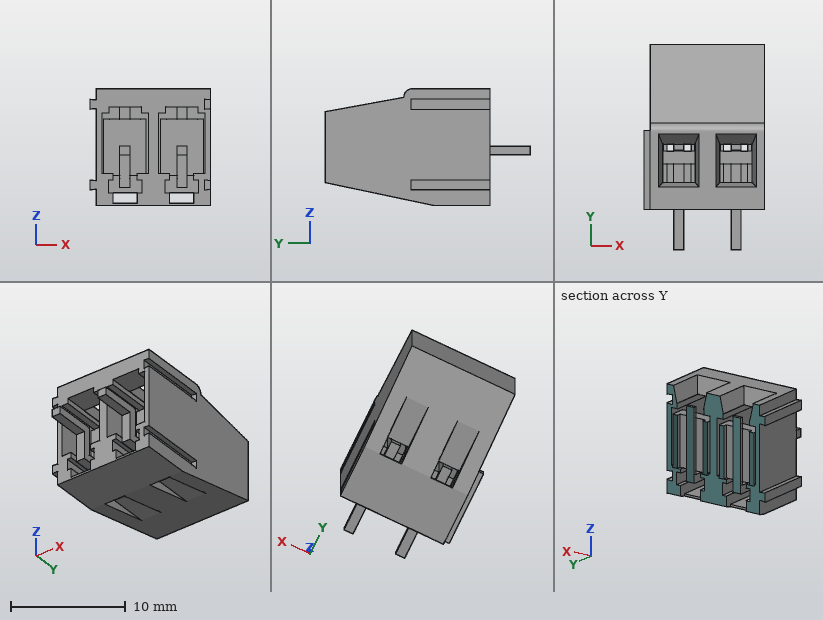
import cadquery as cq


OVERALL_DEPTH = 17.9

HOUSING_WIDTH = 9.99
MID_X = HOUSING_WIDTH / 2
POLE_PITCH = HOUSING_WIDTH / 2
POLE_SIDES = (-1, 1)
CHAMBER_SHIFT = 0.04

HOUSING_DEPTH = 14.4
HOUSING_HEIGHT = 10.2
FLAT_BOTTOM_DEPTH = 4.89
REAR_BOTTOM_Z = 2.0
REAR_TOP_Z = 8.2
STEP_Y = 7.54
STEP_RADIUS = 0.75

RAIL_WIDTH = 0.55
RAIL_LENGTH = 6.91
RAIL_TIP_HEIGHT = 0.88
RAIL_ROOT_HEIGHT = 0.77
RAIL_CENTRES_Z = (1.8, 8.85)

CHAMBER_DEPTH = 6.28
CHAMBER_WIDTH = 4.08
CHAMBER_FLOOR_Z = 2.81
CHAMBER_TOP_Z = 8.09
CEILING_Z = 8.61
CEILING_WIDTH = 2.81
CHANNEL_WIDTH = 2.1
CHANNEL_FLOOR_Z = 0.21
SLOT_WIDTH = 2.92
SLOT_BOTTOM_Z = 1.13
SLOT_TOP_Z = 2.25

FUNNEL_TOP_WIDTH = 3.53
FUNNEL_TOP_FRONT_Y = 1.95
FUNNEL_TOP_REAR_Y = 6.57
FUNNEL_BASE_FRONT_Y = 2.38
FUNNEL_BASE_REAR_Y = 5.7

CAGE_FRONT_Y = 4.0
CAGE_WIDTH = 3.75
CAGE_BOTTOM_Z = 2.65
CAGE_TOP_Z = 7.54
CAGE_FRONT_WALL = 1.11
CAGE_SIDE_WALL = 0.52

PIN_WIDTH = 0.88
PIN_THICKNESS = 0.77
PIN_REACH = OVERALL_DEPTH - HOUSING_DEPTH
PIN_TOP_Z = 5.19
PIN_BOTTOM_Z = 1.6
TONGUE_FRONT_Y = 5.2


def block(centre_x, width, y_start, y_end, z_start, z_end):
    """Box centred on centre_x in X, between the given Y and Z limits."""
    return (
        cq.Workplane("XY")
        .box(width, y_end - y_start, z_end - z_start, centered=(True, False, False))
        .translate((centre_x, y_start, z_start))
    )


def pole_x(side):
    """Middle of a pole's metal parts."""
    return MID_X + side * POLE_PITCH / 2


def make_shell():
    """Solid housing profile, extruded across both poles."""
    step_z = HOUSING_HEIGHT - STEP_RADIUS
    crest_y = STEP_Y - STEP_RADIUS
    return (
        cq.Workplane("YZ")
        .moveTo(0, 0)
        .lineTo(FLAT_BOTTOM_DEPTH, 0)
        .lineTo(HOUSING_DEPTH, REAR_BOTTOM_Z)
        .lineTo(HOUSING_DEPTH, REAR_TOP_Z)
        .lineTo(STEP_Y, step_z)
        .radiusArc((crest_y, HOUSING_HEIGHT), -STEP_RADIUS)
        .lineTo(0, HOUSING_HEIGHT)
        .close()
        .extrude(HOUSING_WIDTH)
    )


def make_rail(root_x, centre_z):
    """Dovetail bar that widens from its root towards -X."""
    tip_x = root_x - RAIL_WIDTH
    root_half = RAIL_ROOT_HEIGHT / 2
    tip_half = RAIL_TIP_HEIGHT / 2
    return (
        cq.Workplane("XZ")
        .polyline([
            (root_x, centre_z - root_half),
            (root_x, centre_z + root_half),
            (tip_x, centre_z + tip_half),
            (tip_x, centre_z - tip_half),
        ])
        .close()
        .extrude(-RAIL_LENGTH)
    )


def make_chamber(centre_x):
    """Stepped opening in the pin face, with a wire channel out through the sloped underside."""
    main = block(centre_x, CHAMBER_WIDTH, 0, CHAMBER_DEPTH, CHAMBER_FLOOR_Z, CHAMBER_TOP_Z)
    ceiling = block(centre_x, CEILING_WIDTH, 0, CHAMBER_DEPTH, CHAMBER_FLOOR_Z, CEILING_Z)
    neck = block(centre_x, CHANNEL_WIDTH, 0, CHAMBER_DEPTH, CHANNEL_FLOOR_Z, CHAMBER_FLOOR_Z)
    slot = block(centre_x, SLOT_WIDTH, 0, CHAMBER_DEPTH, SLOT_BOTTOM_Z, SLOT_TOP_Z)
    channel = block(centre_x, CHANNEL_WIDTH, 0, HOUSING_DEPTH, CHANNEL_FLOOR_Z, SLOT_BOTTOM_Z)
    outlet = block(centre_x, CHANNEL_WIDTH, FLAT_BOTTOM_DEPTH, HOUSING_DEPTH, 0, SLOT_BOTTOM_Z)
    return main.union(ceiling).union(neck).union(slot).union(channel).union(outlet)


def make_cage_seat(centre_x):
    """Shallow recess in the chamber floor that takes the foot of the cage."""
    return block(centre_x, CAGE_WIDTH, CAGE_FRONT_Y, CHAMBER_DEPTH, CAGE_BOTTOM_Z, CHAMBER_FLOOR_Z)


def make_funnel(centre_x):
    """Tapered wire entry from the top face down to the chamber ceiling."""
    base_depth = FUNNEL_BASE_REAR_Y - FUNNEL_BASE_FRONT_Y
    top_depth = FUNNEL_TOP_REAR_Y - FUNNEL_TOP_FRONT_Y
    base_mid_y = (FUNNEL_BASE_FRONT_Y + FUNNEL_BASE_REAR_Y) / 2
    top_mid_y = (FUNNEL_TOP_FRONT_Y + FUNNEL_TOP_REAR_Y) / 2
    return (
        cq.Workplane("XY", origin=(centre_x, base_mid_y, CEILING_Z))
        .rect(CEILING_WIDTH, base_depth)
        .workplane(offset=HOUSING_HEIGHT - CEILING_Z)
        .center(0, top_mid_y - base_mid_y)
        .rect(FUNNEL_TOP_WIDTH, top_depth)
        .loft(ruled=True)
    )


def make_housing():
    """Housing with rails, grooves, chambers and funnels."""
    housing = make_shell()
    for centre_z in RAIL_CENTRES_Z:
        housing = housing.union(make_rail(0, centre_z))
        housing = housing.cut(make_rail(HOUSING_WIDTH, centre_z))
    for side in POLE_SIDES:
        chamber_x = pole_x(side) - side * CHAMBER_SHIFT
        housing = housing.cut(make_chamber(chamber_x))
        housing = housing.cut(make_cage_seat(pole_x(side)))
        housing = housing.cut(make_funnel(pole_x(side)))
    return housing


def make_cage(centre_x):
    """U-shaped clamp: a thick front wall and two side walls that end at the chamber's rear wall."""
    outer = block(centre_x, CAGE_WIDTH, CAGE_FRONT_Y, CHAMBER_DEPTH, CAGE_BOTTOM_Z, CAGE_TOP_Z)
    inner_width = CAGE_WIDTH - 2 * CAGE_SIDE_WALL
    inner_front_y = CAGE_FRONT_Y + CAGE_FRONT_WALL
    inner = block(centre_x, inner_width, inner_front_y, CHAMBER_DEPTH, CAGE_BOTTOM_Z, CAGE_TOP_Z)
    return outer.cut(inner)


def make_pin(centre_x):
    """Square-bent strip: outer arm, leg at the pin face, lower arm under the cage, upright tongue."""
    tongue_rear_y = TONGUE_FRONT_Y + PIN_THICKNESS
    arm = block(centre_x, PIN_WIDTH, -PIN_REACH, PIN_THICKNESS, PIN_TOP_Z - PIN_THICKNESS, PIN_TOP_Z)
    leg = block(centre_x, PIN_WIDTH, 0, PIN_THICKNESS, PIN_BOTTOM_Z, PIN_TOP_Z)
    lower_arm = block(centre_x, PIN_WIDTH, 0, tongue_rear_y, PIN_BOTTOM_Z, PIN_BOTTOM_Z + PIN_THICKNESS)
    tongue = block(centre_x, PIN_WIDTH, TONGUE_FRONT_Y, tongue_rear_y, PIN_BOTTOM_Z, CEILING_Z)
    return arm.union(leg).union(lower_arm).union(tongue)


housing = make_housing()
cages = [make_cage(pole_x(side)) for side in POLE_SIDES]
pins = [make_pin(pole_x(side)) for side in POLE_SIDES]

result = cq.Compound.makeCompound([
    housing.val(),
    *[cage.val() for cage in cages],
    *[pin.val() for pin in pins],
])